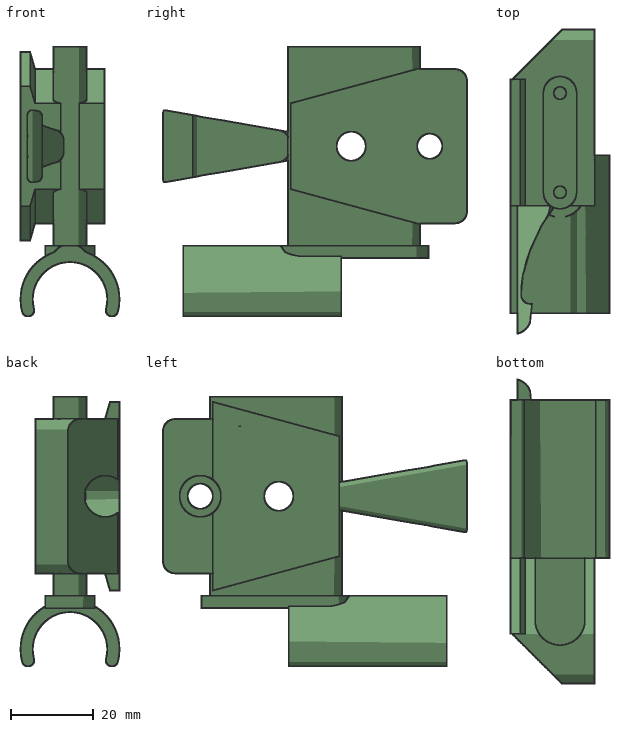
import cadquery as cq
import math


clip_outer_radius = 12.0
clip_inner_radius = 8.95
clip_front_y = -41.2
clip_length = 38.2
clip_tip_drop = 2.65
ridge_top_half_width = 1.4
ridge_mid_half_width = 3.0
ridge_mid_drop = 0.7
ridge_foot_half_width = 4.1

bar_width = 8.0
bar_hole_spacing = 23.9
flange_width = 12.05
flange_thickness = 3.0
flange_top_z = 12.9
bar_top_z = 60.9
bar_hole_diameter = 3.0
bar_hole_depth = 6.0
middle_z = (flange_top_z + bar_top_z) / 2

housing_left_x = -clip_outer_radius
housing_right_x = 8.4
lip_outer_x = -9.6
lip_inner_x = -8.45
housing_half_length = 15.3
lip_back_half_height = 22.75
block_back_half_height = 18.65
taper_drop = 8.3
tail_length = 12.05
tail_bevel_start_x = -11.5
tail_corner_radius = 3.0

cross_hole_diameter = 7.0
cross_hole_y = -0.65
tail_hole_diameter = 6.0
tail_counterbore_diameter = 10.0
tail_hole_y = 18.3
counterbore_floor_x = bar_width / 2

lever_left_x = -10.3
lever_root_x = -1.25
lever_lip_x = -6.75
lever_tip_y = -46.1
lever_root_half_height = 3.4
lever_tip_half_height = 8.8
lever_edge_radius = 1.3
lever_nose_length = 2.2
lever_nose_half_height = 3.9


def slot_prism(width, bottom_z, top_z):
    """Upright bar with rounded ends centred on the two bar holes."""
    return (
        cq.Workplane("XY", origin=(0, 0, bottom_z))
        .slot2D(bar_hole_spacing + width, width, 90)
        .extrude(top_z - bottom_z)
    )


def cross_cylinder(diameter, y, start_x, end_x):
    """Cylinder along X at the middle height."""
    return (
        cq.Workplane("YZ", origin=(start_x, y, middle_z))
        .circle(diameter / 2)
        .extrude(end_x - start_x)
    )


def cross_hole_cutters():
    """Tools for the plain cross hole and the counterbored tail hole."""
    cross_hole = cross_cylinder(cross_hole_diameter, cross_hole_y, housing_left_x, housing_right_x)
    tail_hole = cross_cylinder(tail_hole_diameter, tail_hole_y, housing_left_x, housing_right_x)
    counterbore = cross_cylinder(
        tail_counterbore_diameter, tail_hole_y, housing_left_x, counterbore_floor_x
    )
    return [cross_hole, tail_hole, counterbore]


def make_clip():
    """C-shaped clip with rounded tips and a blended ridge along its top."""
    tip_radius = (clip_outer_radius - clip_inner_radius) / 2
    wall_radius = (clip_outer_radius + clip_inner_radius) / 2
    tip_angle = math.asin(clip_tip_drop / wall_radius)

    def tip_point(radius):
        return radius * math.cos(tip_angle), -radius * math.sin(tip_angle)

    outer_x, outer_z = tip_point(clip_outer_radius)
    inner_x, inner_z = tip_point(clip_inner_radius)
    tip_x, tip_z = tip_point(wall_radius)
    end_x = tip_x - tip_radius * math.sin(tip_angle)
    end_z = tip_z - tip_radius * math.cos(tip_angle)
    clip_plane = cq.Workplane("XZ", origin=(0, clip_front_y + clip_length, 0))
    ring = (
        clip_plane.moveTo(-outer_x, outer_z)
        .threePointArc((0, clip_outer_radius), (outer_x, outer_z))
        .threePointArc((end_x, end_z), (inner_x, inner_z))
        .threePointArc((0, clip_inner_radius), (-inner_x, inner_z))
        .threePointArc((-end_x, end_z), (-outer_x, outer_z))
        .close()
        .extrude(clip_length)
    )

    foot_z = math.sqrt(clip_outer_radius**2 - ridge_foot_half_width**2)
    ridge_base_z = (clip_inner_radius + clip_outer_radius) / 2
    half_ridge = (
        clip_plane.moveTo(0, ridge_base_z)
        .lineTo(0, flange_top_z)
        .lineTo(ridge_top_half_width, flange_top_z)
        .tangentArcPoint((ridge_mid_half_width, flange_top_z - ridge_mid_drop), relative=False)
        .tangentArcPoint((ridge_foot_half_width, foot_z), relative=False)
        .close()
        .extrude(clip_length)
    )
    return ring.union(half_ridge).union(half_ridge.mirror("YZ"))


def make_clip_bar():
    """Bar standing on its flange, in one piece with the clip."""
    flange = slot_prism(flange_width, flange_top_z - flange_thickness, flange_top_z)
    bar = slot_prism(bar_width, flange_top_z, bar_top_z)
    clip_bar = make_clip().union(flange).union(bar)
    bar_holes = (
        cq.Workplane("XY", origin=(0, 0, bar_top_z - bar_hole_depth))
        .rarray(0.7, bar_hole_spacing, 1, 2)
        .circle(bar_hole_diameter / 2)
        .extrude(bar_hole_depth)
    )
    clip_bar = clip_bar.cut(bar_holes)
    for cutter in cross_hole_cutters():
        clip_bar = clip_bar.cut(cutter)
    return clip_bar


def housing_section(y, drop):
    """Lipped cross-section of the housing, with all heights reduced by drop."""
    lip = lip_back_half_height - drop
    block = block_back_half_height - drop
    upper = [
        (housing_left_x, lip),
        (lip_outer_x, lip),
        (lip_inner_x, block),
        (housing_right_x, block),
    ]
    lower = [(x, -z) for x, z in reversed(upper)]
    corners = [cq.Vector(x, y, middle_z + z) for x, z in upper + lower]
    return cq.Wire.makePolygon(corners, close=True)


def make_tail():
    """Bevelled block behind the housing, with rounded rear edges."""
    back_y = housing_half_length + tail_length
    return (
        cq.Workplane("XY", origin=(0, 0, middle_z - block_back_half_height))
        .moveTo(tail_bevel_start_x, housing_half_length)
        .lineTo(tail_bevel_start_x + tail_length, back_y)
        .lineTo(housing_right_x, back_y)
        .lineTo(housing_right_x, housing_half_length)
        .close()
        .extrude(2 * block_back_half_height)
        .edges("|X and >Y")
        .fillet(tail_corner_radius)
    )


def make_lever():
    """Lever that flares in height toward its tip, scooped on the inner side for a finger."""
    root_y = -housing_half_length
    flare = (
        cq.Workplane("YZ", origin=(lever_left_x, 0, middle_z))
        .moveTo(root_y, lever_root_half_height)
        .lineTo(lever_tip_y, lever_tip_half_height)
        .lineTo(lever_tip_y, -lever_tip_half_height)
        .lineTo(root_y, -lever_root_half_height)
        .close()
        .extrude(lever_root_x - lever_left_x)
        .edges("<X and (not |Z)")
        .fillet(lever_edge_radius)
    )
    outline = (
        cq.Workplane("XY", origin=(0, 0, middle_z - lever_tip_half_height))
        .moveTo(lever_left_x, root_y)
        .lineTo(lever_left_x, lever_tip_y)
        .threePointArc((-8.5, -45.2), (lever_lip_x - 0.45, -43.3))
        .lineTo(lever_lip_x, -38.9)
        .threePointArc((-8.65, -38.3), (-9.4, -36.7))
        .spline([(-8.95, -32.0), (-7.3, -26.1), (-4.4, -19.9)], includeCurrent=True)
        .lineTo(lever_root_x, root_y)
        .close()
        .extrude(2 * lever_tip_half_height)
    )
    nose_base_x = lever_root_x - lever_nose_length
    nose_plane = cq.Workplane("XZ", origin=(nose_base_x, root_y, middle_z))
    flare_length = root_y - lever_tip_y
    nose_round = nose_plane.ellipse(lever_nose_length, lever_nose_half_height).extrude(flare_length)
    nose_corners = (
        nose_plane.center(lever_nose_length / 2, 0)
        .rect(lever_nose_length, 2 * lever_tip_half_height)
        .extrude(flare_length)
        .cut(nose_round)
    )
    return flare.intersect(outline).cut(nose_corners)


def make_housing():
    """Tapered housing with tail and lever, slotted for the bar."""
    back = housing_section(housing_half_length, 0)
    front = housing_section(-housing_half_length, taper_drop)
    block = cq.Workplane("XY").newObject([cq.Solid.makeLoft([back, front], True)])
    housing = block.union(make_tail()).union(make_lever())
    housing = housing.cut(slot_prism(bar_width, flange_top_z, bar_top_z))
    for cutter in cross_hole_cutters():
        housing = housing.cut(cutter)
    return housing


clip_bar = make_clip_bar()
housing = make_housing()
result = cq.Compound.makeCompound([clip_bar.val(), housing.val()])